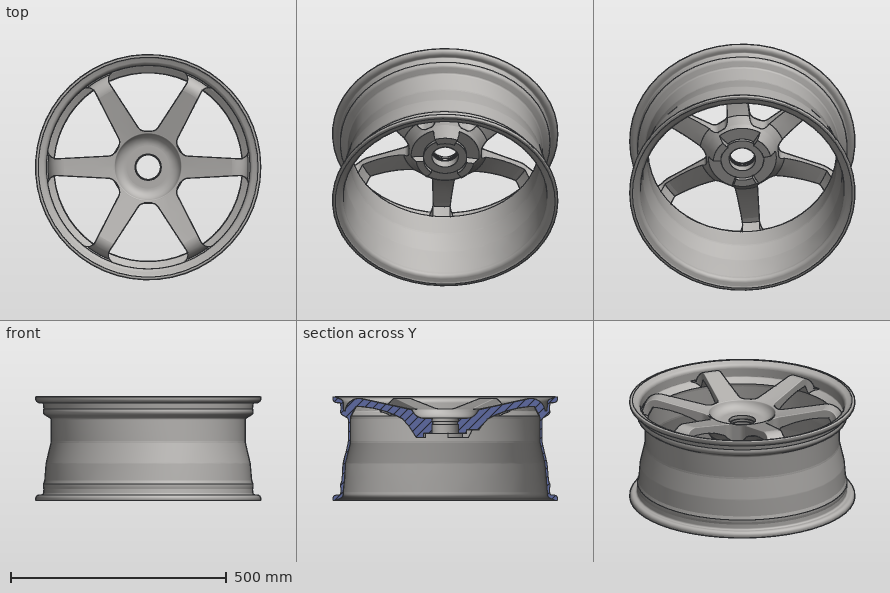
import cadquery as cq
import math

WIDTH = 241.0

FLANGE_R = 522.4 / 2
LIP_R = 509.4 / 2
LIP_ROUND = 2.5
FLANGE_THICKNESS = 13.5
FLANGE_ROOT_R = 247.5
BACK_FLANGE_ROUND = 9.0
FRONT_FLANGE_POINTS = [(FLANGE_R - 1.4, 231.6), (FLANGE_R - 5.2, 228.0), (FLANGE_ROOT_R, 226.6)]

LIP_STEP_R, LIP_STEP_DEPTH = 251.5, 2.0
LIP_SLOPE_R, LIP_SLOPE_DEPTH = 244.7, 4.5
LIP_CURVE_R, LIP_CURVE_DEPTH = 239.0, 8.0
INNER_SEAT_R = 472.72 / 2
INNER_SEAT_DEPTH = 14.0
BACK_SEAT_END_Z = 20.0

BEAD_SEAT_R = 243.0
SEAT_GROOVE_R = BEAD_SEAT_R - 1.0
FRONT_SEAT_Z = 221.5
FRONT_GROOVE_Z = 213.0
FRONT_HUMP_Z = 208.5
HUMP_MID_R, HUMP_MID_Z = 242.2, 202.0
HUMP_END_R, HUMP_END_Z = 238.5, 198.0
BACK_HUMP_TOP_Z = 38.5
BACK_HUMP_BOTTOM_Z = 32.0
BACK_GROOVE_Z = 26.0
BACK_SEAT_Z = 18.0
BACK_ROOT_MID_R, BACK_ROOT_MID_Z = 244.4, 14.9

WALL = 6.0
WELL_R = 225.2
WELL_INNER_R = WELL_R - WALL
WELL_TOP = 187.0
WELL_SHOULDER_R, WELL_SHOULDER_Z = 229.0, 192.5
WELL_ROUND_R, WELL_ROUND_Z = 226.2, 190.3
WELL_BOTTOM = 135.0
TAPER_R = 236.7
TAPER_BOTTOM = 86.0
BARREL_R = 240.2
BARREL_BOTTOM = 46.0
BARREL_BLEND = 20.0

LEDGE_INNER_R = 218.3
LEDGE_LIP_BOTTOM = 189.0
LEDGE_BOTTOM = 196.0
LEDGE_OUTER_R = 232.0
LEDGE_TOP = 204.0
WALL_ROUND_R, WALL_ROUND_Z = 234.7, 205.7
WALL_FOOT_R, WALL_FOOT_Z = 235.7, 208.5

SPOKE_COUNT = 6
SPOKE_PITCH = 360.0 / SPOKE_COUNT
WINDOW_OUTER_R = 236.0
SPOKE_CREST_R = 195.0
SPOKE_CREST_Z = 237.0
SPOKE_BEND_R, SPOKE_BEND_Z = 218.5, 231.0
SPOKE_FOOT_Z = 208.0
SPOKE_EMBED_R = WINDOW_OUTER_R + 1.0
SPOKE_EMBED_Z = SPOKE_FOOT_Z + 1.5
SPOKE_BACK_Z = 218.0
SPOKE_BACK_END_R = 207.0
SPOKE_BACK_START_R = 196.0
SPOKE_ARCH_MID_R, SPOKE_ARCH_MID_Z = 145.0, 208.5
SPOKE_ARCH_END_R, SPOKE_ARCH_END_Z = 99.0, 189.0
SPOKE_CREST_HALF_WIDTH = 20.5
SPOKE_ROOT_R = 91.0
SPOKE_ROOT_HALF_WIDTH = 26.0
SPOKE_EDGE_ROUND = 1.5
WINDOW_INNER_R = 84.0
WINDOW_MID_R = (WINDOW_INNER_R + WINDOW_OUTER_R) / 2
WINDOW_ROOT_ROUND = 18.0
WINDOW_RIM_ROUND = 20.0

DISH_R = 78.0
DISH_RIM_Z = 211.0
DISH_RIM_ROUND = 1.5
DISH_FLOOR_R = 50.0
DISH_FLOOR_Z = 191.5
SPOKE_RISE = (SPOKE_CREST_Z - DISH_RIM_Z) / (SPOKE_CREST_R - DISH_R)
HUB_BACK_Z = 156.0
LOBE_GAP_Z = 164.0
HUB_BACK_R = 67.0
HUB_SIDE_BACK_Z = 172.0
LOBE_BACK_Z = 146.0
LOBE_COUNT = 3
LOBE_SPAN = 46.0
BORE_R = 61.0 / 2
BORE_LAND_R = 56.5 / 2
BORE_LAND_DEPTH = 8.5
BORE_LAND_HEIGHT = 6.5
BORE_LAND_BOTTOM = DISH_FLOOR_Z - BORE_LAND_DEPTH - BORE_LAND_HEIGHT

MATCH = 1.0


def soften_barrel(rim):
    """Blend the two bends of the barrel, inside and outside."""
    for radius, height in ((WELL_R, WELL_BOTTOM), (TAPER_R, TAPER_BOTTOM)):
        for bend_r in (radius, radius - WALL):
            bend = rim.edges("%CIRCLE").filter(
                lambda edge: (
                    abs(edge.Center().z - height) < MATCH and abs(edge.radius() - bend_r) < MATCH
                )
            )
            rim = bend.fillet(BARREL_BLEND)
    return rim


def make_rim():
    """Revolved rim: two flanges, bead seats and a stepped drop-centre barrel."""
    lip_mid = LIP_ROUND * (1 - math.sqrt(0.5))
    profile = (
        cq.Workplane("XZ")
        .moveTo(LIP_R, WIDTH)
        .lineTo(FLANGE_R - LIP_ROUND, WIDTH)
        .threePointArc((FLANGE_R - lip_mid, WIDTH - lip_mid), (FLANGE_R, WIDTH - LIP_ROUND))
        .spline(
            FRONT_FLANGE_POINTS + [(BEAD_SEAT_R, FRONT_SEAT_Z)],
            tangents=[(0, -1), (0, -1)],
            includeCurrent=True,
        )
        .lineTo(SEAT_GROOVE_R, FRONT_GROOVE_Z)
        .lineTo(BEAD_SEAT_R, FRONT_HUMP_Z)
        .threePointArc((HUMP_MID_R, HUMP_MID_Z), (HUMP_END_R, HUMP_END_Z))
        .lineTo(WELL_SHOULDER_R, WELL_SHOULDER_Z)
        .threePointArc((WELL_ROUND_R, WELL_ROUND_Z), (WELL_R, WELL_TOP))
        .lineTo(WELL_R, WELL_BOTTOM)
        .lineTo(TAPER_R, TAPER_BOTTOM)
        .lineTo(BARREL_R, BARREL_BOTTOM)
        .lineTo(BEAD_SEAT_R, BACK_HUMP_TOP_Z)
        .lineTo(BEAD_SEAT_R, BACK_HUMP_BOTTOM_Z)
        .lineTo(SEAT_GROOVE_R, BACK_GROOVE_Z)
        .lineTo(BEAD_SEAT_R, BACK_SEAT_Z)
        .threePointArc((BACK_ROOT_MID_R, BACK_ROOT_MID_Z), (FLANGE_ROOT_R, FLANGE_THICKNESS))
        .lineTo(FLANGE_R - BACK_FLANGE_ROUND, FLANGE_THICKNESS)
        .tangentArcPoint((BACK_FLANGE_ROUND, -BACK_FLANGE_ROUND))
        .lineTo(FLANGE_R, LIP_ROUND)
        .threePointArc((FLANGE_R - lip_mid, lip_mid), (FLANGE_R - LIP_ROUND, 0))
        .lineTo(LIP_R, 0)
        .lineTo(LIP_STEP_R, LIP_STEP_DEPTH)
        .lineTo(LIP_SLOPE_R, LIP_SLOPE_DEPTH)
        .threePointArc((LIP_CURVE_R, LIP_CURVE_DEPTH), (INNER_SEAT_R, INNER_SEAT_DEPTH))
        .lineTo(INNER_SEAT_R, BACK_SEAT_END_Z)
        .lineTo(TAPER_R - WALL, TAPER_BOTTOM)
        .lineTo(WELL_INNER_R, WELL_BOTTOM)
        .lineTo(WELL_INNER_R, LEDGE_LIP_BOTTOM)
        .lineTo(LEDGE_INNER_R, LEDGE_BOTTOM)
        .lineTo(LEDGE_OUTER_R, LEDGE_TOP)
        .threePointArc((WALL_ROUND_R, WALL_ROUND_Z), (WALL_FOOT_R, WALL_FOOT_Z))
        .lineTo(INNER_SEAT_R, WIDTH - INNER_SEAT_DEPTH)
        .threePointArc((LIP_CURVE_R, WIDTH - LIP_CURVE_DEPTH), (LIP_SLOPE_R, WIDTH - LIP_SLOPE_DEPTH))
        .lineTo(LIP_STEP_R, WIDTH - LIP_STEP_DEPTH)
        .close()
    )
    return soften_barrel(profile.revolve(360, (0, 0, 0), (0, 1, 0)))


def make_disc():
    """Revolved hub and spoke blank: dished centre, rising front and arched back."""
    spoke_start_r = DISH_R + DISH_RIM_ROUND
    spoke_start_z = DISH_RIM_Z + DISH_RIM_ROUND * SPOKE_RISE
    profile = (
        cq.Workplane("XZ")
        .moveTo(0, DISH_FLOOR_Z)
        .lineTo(DISH_FLOOR_R, DISH_FLOOR_Z)
        .tangentArcPoint((DISH_R - DISH_RIM_ROUND, DISH_RIM_Z - DISH_RIM_ROUND), relative=False)
        .threePointArc((DISH_R, DISH_RIM_Z), (spoke_start_r, spoke_start_z))
        .lineTo(SPOKE_CREST_R, SPOKE_CREST_Z)
        .threePointArc((SPOKE_BEND_R, SPOKE_BEND_Z), (LEDGE_OUTER_R, SPOKE_FOOT_Z))
        .lineTo(SPOKE_EMBED_R, SPOKE_EMBED_Z)
        .lineTo(SPOKE_EMBED_R, LEDGE_TOP)
        .lineTo(WELL_R, LEDGE_BOTTOM)
        .lineTo(LEDGE_INNER_R, LEDGE_BOTTOM)
        .lineTo(SPOKE_BACK_END_R, SPOKE_BACK_Z)
        .lineTo(SPOKE_BACK_START_R, SPOKE_BACK_Z)
        .threePointArc((SPOKE_ARCH_MID_R, SPOKE_ARCH_MID_Z), (SPOKE_ARCH_END_R, SPOKE_ARCH_END_Z))
        .lineTo(WINDOW_INNER_R, HUB_SIDE_BACK_Z)
        .lineTo(HUB_BACK_R, LOBE_BACK_Z)
        .lineTo(DISH_FLOOR_R, LOBE_BACK_Z)
        .lineTo(DISH_FLOOR_R, HUB_BACK_Z)
        .lineTo(0, HUB_BACK_Z)
        .close()
    )
    return profile.revolve(360, (0, 0, 0), (0, 1, 0))


def spoke_half_width(radius):
    """Half width of the straight-sided spoke at a distance from the axis."""
    slope = (SPOKE_CREST_HALF_WIDTH - SPOKE_ROOT_HALF_WIDTH) / (SPOKE_CREST_R - SPOKE_ROOT_R)
    return SPOKE_ROOT_HALF_WIDTH + slope * (radius - SPOKE_ROOT_R)


def make_window():
    """Cutter for the opening between two spokes, centred on +X."""
    half_pitch = math.radians(SPOKE_PITCH / 2)

    def side_point(radius):
        width = spoke_half_width(radius)
        x = radius * math.cos(half_pitch) + width * math.sin(half_pitch)
        y = radius * math.sin(half_pitch) - width * math.cos(half_pitch)
        return x, y

    far_x, far_y = side_point(WINDOW_OUTER_R + WALL)
    near_x, near_y = side_point(SPOKE_ROOT_R)
    slope = (far_y - near_y) / (far_x - near_x)
    root_y = near_y + slope * (WINDOW_INNER_R - near_x)
    wedge = (
        cq.Workplane("XY")
        .polyline([(WINDOW_INNER_R, -root_y), (far_x, -far_y), (WIDTH * 2, 0),
                   (far_x, far_y), (WINDOW_INNER_R, root_y)])
        .close()
        .extrude(WIDTH)
    )
    window = wedge.intersect(cq.Workplane("XY").circle(WINDOW_OUTER_R).extrude(WIDTH))
    window = window.edges("|Z and <X").fillet(WINDOW_ROOT_ROUND)
    rim_corners = cq.selectors.BoxSelector((WINDOW_MID_R, -WIDTH, 0), (WIDTH, WIDTH, WIDTH))
    return window.edges("|Z").edges(rim_corners).fillet(WINDOW_RIM_ROUND)


def round_spokes(disc):
    """Round the front edges of the spokes and of the hub between them."""
    def on_spoke_front(edge):
        middle = edge.positionAt(0.5)
        radius = math.hypot(middle.x, middle.y)
        crest = DISH_RIM_Z + SPOKE_RISE * (radius - DISH_R)
        is_between = WINDOW_INNER_R - MATCH < radius < SPOKE_CREST_R - MATCH
        return is_between and middle.z > crest - MATCH

    return disc.edges().filter(on_spoke_front).fillet(SPOKE_EDGE_ROUND)


def make_lobe_gap():
    """Cutter for the lowered back of the hub between two lobes, centred on +X."""
    reach = 2 * WINDOW_INNER_R
    half_gap = math.radians(360.0 / LOBE_COUNT - LOBE_SPAN) / 2
    x = reach * math.cos(half_gap)
    y = reach * math.sin(half_gap)
    wedge = cq.Workplane("XY").polyline([(0, 0), (x, -y), (x, y)]).close().extrude(LOBE_GAP_Z)
    hub_core = cq.Workplane("XY").circle(DISH_FLOOR_R).extrude(LOBE_GAP_Z)
    return wedge.cut(hub_core)


def make_bore():
    """Stepped centre bore with a narrower land."""
    bore = cq.Workplane("XY").circle(BORE_R).extrude(WIDTH)
    land = (
        cq.Workplane("XY", origin=(0, 0, BORE_LAND_BOTTOM))
        .circle(BORE_R)
        .circle(BORE_LAND_R)
        .extrude(BORE_LAND_HEIGHT)
    )
    return bore.cut(land)


disc = make_disc()
window = make_window()
for i in range(SPOKE_COUNT):
    angle = (i + 0.5) * SPOKE_PITCH
    disc = disc.cut(window.rotate((0, 0, 0), (0, 0, 1), angle))
disc = round_spokes(disc)
lobe_gap = make_lobe_gap()
for i in range(LOBE_COUNT):
    disc = disc.cut(lobe_gap.rotate((0, 0, 0), (0, 0, 1), i * 360.0 / LOBE_COUNT))
disc = disc.cut(make_bore())

result = make_rim().union(disc)